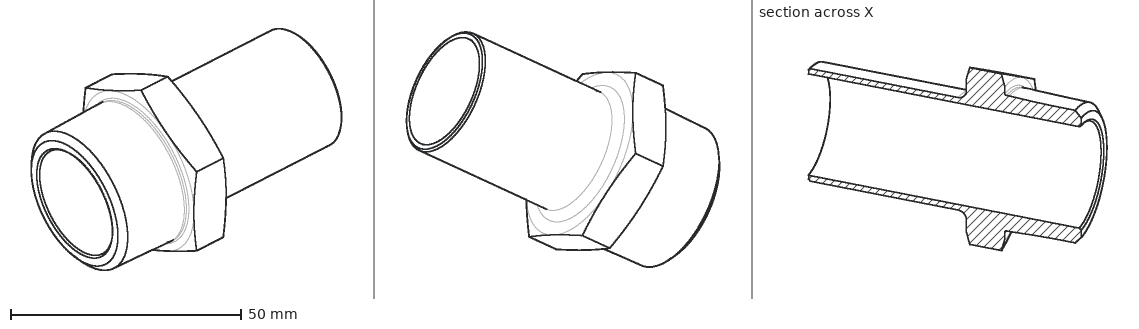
import cadquery as cq
import math

total_length = 64.0
thread_chamfer_length = 1.4
taper_end = 16.95
hex_start = 17.9
hex_end = 27.0

bore_diameter = 25.0
tube_diameter = 28.0
thread_end_diameter = 32.95
thread_root_diameter = 33.7
thread_face_diameter = 29.7
hex_across_flats = 38.0
hex_corner_angle = 15.0

root_fillet = 0.4
tube_fillet = 1.9
tube_end_chamfer = 0.45
bore_chamfer = 0.45

bore_radius = bore_diameter / 2
tube_radius = tube_diameter / 2
thread_root_radius = thread_root_diameter / 2
flat_radius = hex_across_flats / 2
corner_radius = flat_radius / math.cos(math.radians(30))
corner_drop = (corner_radius - flat_radius) * math.tan(math.radians(hex_corner_angle))


def revolve_about_y(profile):
    """Revolve a closed (radius, y) profile in the XY plane about the Y axis."""
    return profile.close().revolve(360, (0, 0, 0), (0, 1, 0))


def concave_middle(centre_radius, centre_y, fillet, y_direction):
    """Midpoint of a quarter fillet arc facing the axis."""
    offset = fillet * math.sqrt(0.5)
    return centre_radius - offset, centre_y + y_direction * offset


def make_spigot():
    """Tapered thread blank and plain tube, with fillets into the hexagon faces."""
    root_middle = concave_middle(
        thread_root_radius + root_fillet, hex_start - root_fillet, root_fillet, 1
    )
    tube_middle = concave_middle(
        tube_radius + tube_fillet, hex_end + tube_fillet, tube_fillet, -1
    )
    return revolve_about_y(
        cq.Workplane("XY")
        .moveTo(0, 0)
        .lineTo(thread_face_diameter / 2, 0)
        .lineTo(thread_end_diameter / 2, thread_chamfer_length)
        .lineTo(thread_root_radius, taper_end)
        .lineTo(thread_root_radius, hex_start - root_fillet)
        .threePointArc(root_middle, (thread_root_radius + root_fillet, hex_start))
        .lineTo(tube_radius + tube_fillet, hex_end)
        .threePointArc(tube_middle, (tube_radius, hex_end + tube_fillet))
        .lineTo(tube_radius, total_length - tube_end_chamfer)
        .lineTo(tube_radius - tube_end_chamfer, total_length)
        .lineTo(0, total_length)
    )


def make_hexagon():
    """Hexagon with corners on the Z axis, its corners turned off at both faces."""
    prism = (
        cq.Workplane("XZ", origin=(0, hex_start, 0))
        .transformed(rotate=(0, 0, 90))
        .polygon(6, 2 * corner_radius)
        .extrude(hex_start - hex_end)
    )
    turned_blank = revolve_about_y(
        cq.Workplane("XY")
        .moveTo(0, hex_start)
        .lineTo(flat_radius, hex_start)
        .lineTo(corner_radius, hex_start + corner_drop)
        .lineTo(corner_radius, hex_end - corner_drop)
        .lineTo(flat_radius, hex_end)
        .lineTo(0, hex_end)
    )
    return prism.intersect(turned_blank)


def make_bore():
    """Through bore with a chamfered mouth at the threaded end."""
    return revolve_about_y(
        cq.Workplane("XY")
        .moveTo(0, 0)
        .lineTo(bore_radius + bore_chamfer, 0)
        .lineTo(bore_radius, bore_chamfer)
        .lineTo(bore_radius, total_length)
        .lineTo(0, total_length)
    )


result = make_spigot().union(make_hexagon()).cut(make_bore())